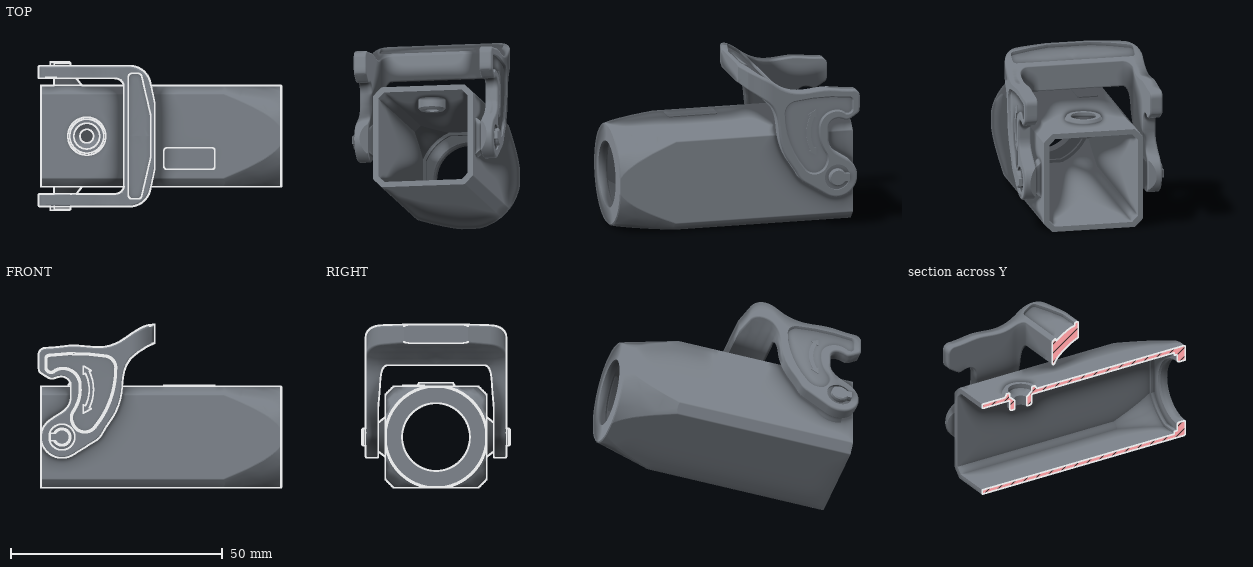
import cadquery as cq
import math

body_length = 56.8
body_half = 12.0
body_chamfer = 2.0
body_edge_round = 0.45
wall = 1.25
inner_chamfer = 1.45

nose_start = 43.1
nose_start_radius = 15.6
nose_end_radius = 12.1
nose_rim_chamfer = 0.25

cavity_end = 53.65
seat_radius = 10.9
seat_half_width = 10.05
seat_end = 54.5
bore_radius = 8.0
bore_chamfer = 0.4

screw_x = 10.85
screw_boss_radius = 4.5
screw_boss_top_radius = 4.0
screw_boss_height = 0.85
screw_inner_radius = 3.15
screw_tip_chamfer = 0.45
screw_boss_bottom = 8.05
screw_recess_radius = 3.05
screw_recess_depth = 1.15
screw_cone_depth = 1.25
screw_hole_radius = 1.6

plate_x = 35.05
plate_y = -5.3
plate_length = 12.05
plate_width = 5.05
plate_height = 0.25
plate_corner = 0.7

pivot_x = 5.0
pivot_radius = 4.95
neck_angle = 122
heel_angle = 58
heel_end_x = 12.95
lever_half_width = 16.65
arm_thickness = 3.05
arm_inner = lever_half_width - arm_thickness
hook_tip_x = -0.6
handle_front = 19.6
handle_back = 26.9
handle_top = 26.55
handle_corner_start_x = 20.9
handle_corner_end = (25.8, 12.85)
handle_lip_half_width = 7.6
opening_corner = 2.1
lever_round = 0.5
opening_round = 0.35
edge_margin = 0.05
thumb_depth = 0.8
thumb_front = 20.65
thumb_back = 25.85
thumb_shoulder_x = 23.65
thumb_half_width = 14.8
thumb_back_half_width = 5.15
thumb_corner = 0.85
recess_depth = 0.5
recess_draft = 35

trunnion_root_radius = 4.7
trunnion_tip_radius = 3.45
trunnion_flat_x = 3.1
pin_half_span = 17.5
pivot_ramp = 1.7
pin_radius = 2.05
pin_chamfer = 0.3
pin_key_reach = 2.8
pin_key_width = 1.85
pin_seat_radius = 3.05
pin_seat_depth = 0.45

arrow_center = (2.7, 11.2)
arrow_radius = 9.25
arrow_half_width = 0.5
arrow_head_half_width = 1.05
arrow_neck_angle = 26
arrow_tip_angle = 37
arrow_height = 0.2


def octagon_prism(half, chamfer, length):
    block = cq.Workplane("YZ").rect(2 * half, 2 * half).extrude(length)
    return block.edges("|X").chamfer(chamfer)


def nose_radius(x):
    slope = (nose_end_radius - nose_start_radius) / (body_length - nose_start)
    return nose_start_radius + slope * (x - nose_start)


def turned(points):
    """Solid of revolution about X from (x, radius) points."""
    return cq.Workplane("XY").polyline(points).close().revolve(360, (0, 0, 0), (1, 0, 0))


def x_cylinder(radius, start, end):
    return cq.Workplane("YZ").workplane(offset=start).circle(radius).extrude(end - start)


def coned(prism, length, inset):
    """Trim a prism to the nose cone moved inwards by inset."""
    wide_radius = nose_radius(0) - inset
    end_radius = nose_radius(length) - inset
    return prism.intersect(turned([(0, 0), (0, wide_radius), (length, end_radius), (length, 0)]))


def make_shell():
    outer = octagon_prism(body_half, body_chamfer, body_length)
    outer = coned(outer, body_length, 0)
    outer = outer.edges("|X or %HYPERBOLA").fillet(body_edge_round)
    outer = outer.faces(">X").edges().chamfer(nose_rim_chamfer)
    inner_half = body_half - wall
    cavity = coned(octagon_prism(inner_half, inner_chamfer, cavity_end), cavity_end, wall)
    seat = x_cylinder(seat_radius, 0, seat_end).intersect(
        cq.Workplane("YZ").rect(2 * seat_half_width, 2 * seat_half_width).extrude(seat_end)
    )
    bore = turned(
        [
            (seat_end, 0),
            (seat_end, bore_radius + bore_chamfer),
            (seat_end + bore_chamfer, bore_radius),
            (body_length, bore_radius),
            (body_length, 0),
        ]
    )
    return outer.cut(cavity).cut(seat).cut(bore)


def z_turned(points):
    profile = cq.Workplane("XZ").polyline(points).close()
    return profile.revolve(360, (0, 0, 0), (0, 1, 0)).translate((screw_x, 0, 0))


def add_screw_boss(body):
    top = body_half + screw_boss_height
    roof_inside = body_half - wall
    boss = z_turned(
        [
            (0, screw_boss_bottom),
            (screw_inner_radius - screw_tip_chamfer, screw_boss_bottom),
            (screw_inner_radius, screw_boss_bottom + screw_tip_chamfer),
            (screw_inner_radius, roof_inside),
            (screw_boss_radius, roof_inside),
            (screw_boss_radius, body_half),
            (screw_boss_top_radius, top),
            (0, top),
        ]
    )
    cone_top = top - screw_recess_depth
    hole = z_turned(
        [
            (0, screw_boss_bottom),
            (screw_hole_radius, screw_boss_bottom),
            (screw_hole_radius, cone_top - screw_cone_depth),
            (screw_recess_radius, cone_top),
            (screw_recess_radius, top),
            (0, top),
        ]
    )
    return body.union(boss).cut(hole)


def make_name_plate():
    plate = cq.Workplane("XY").workplane(offset=body_half - wall / 2)
    plate = plate.center(plate_x, plate_y).rect(plate_length, plate_width)
    return plate.extrude(wall / 2 + plate_height).edges("|Z").fillet(plate_corner)


def pivot_point(degrees):
    angle = math.radians(degrees)
    return (pivot_x + pivot_radius * math.cos(angle), pivot_radius * math.sin(angle))


def lever_outline():
    """Side outline of the lever on the XZ plane, smooth except at the handle lip."""
    heel_direction = (-math.sin(math.radians(heel_angle)), -math.cos(math.radians(heel_angle)))
    heel_start = pivot_point(-heel_angle)
    heel_rise = (heel_end_x - heel_start[0]) / math.tan(math.radians(heel_angle))
    heel_end = (heel_end_x, heel_start[1] + heel_rise)
    neck_direction = (math.sin(math.radians(neck_angle)), -math.cos(math.radians(neck_angle)))
    neck = [pivot_point(neck_angle), (5.55, 6.3), (7.05, 9.45)]
    slot_top = (7.05, 12.05)
    hook = [(4.9, 14.2), (2.6, 13.7), (0.3, 14.9), (hook_tip_x, 16.9)]
    top = [(1.15, 21.05), (7.75, 21.6), (14.8, 21.3), (18.65, 22.55), (21.1, 24.2), (24.1, 26.0)]
    lip_top = (handle_back, handle_top)
    lip_bottom = (handle_back, 22.15)
    back = [(23.0, 20.0), (21.15, 18.45), (19.75, 15.65), (19.05, 10.45), (17.1, 4.9), (15.0, 1.8)]
    up = (0, 1)
    forward = (-1, 0)
    rearward = (1, 0)
    under_lip = (-1, -0.3)
    return (
        cq.Workplane("XZ")
        .moveTo(*heel_start)
        .threePointArc((pivot_x - pivot_radius, 0), neck[0])
        .spline(neck[1:], tangents=[neck_direction, up], includeCurrent=True)
        .lineTo(*slot_top)
        .tangentArcPoint(hook[0], relative=False)
        .spline(hook[1:], tangents=[forward, up], includeCurrent=True)
        .lineTo(hook_tip_x, 19.35)
        .tangentArcPoint(top[0], relative=False)
        .spline(top[1:] + [lip_top], tangents=[rearward, rearward], includeCurrent=True)
        .lineTo(*lip_bottom)
        .spline(back + [heel_end], tangents=[under_lip, heel_direction], includeCurrent=True)
        .close()
    )


def handle_plan():
    """Half of the lever's plan outline (+Y side) with its rounded handle corner, mirrored to the whole."""
    return (
        cq.Workplane("XY")
        .moveTo(-handle_back, 0)
        .lineTo(-handle_back, lever_half_width)
        .lineTo(handle_corner_start_x, lever_half_width)
        .tangentArcPoint(handle_corner_end, relative=False)
        .lineTo(handle_back, handle_lip_half_width)
        .lineTo(handle_back, 0)
        .mirrorX()
    )


def arm_recess_outline(plane):
    return (
        plane.moveTo(1.4, 18.25)
        .threePointArc((1.55, 18.9), (2.1, 19.1))
        .threePointArc((8.3, 19.5), (15.2, 18.95))
        .threePointArc((17.0, 17.9), (17.5, 16.05))
        .threePointArc((16.0, 8.2), (12.6, 2.45))
        .threePointArc((10.05, 1.4), (7.7, 3.3))
        .threePointArc((7.4, 4.7), (7.85, 6.0))
        .threePointArc((9.2, 8.95), (9.45, 12.1))
        .threePointArc((8.2, 15.15), (5.0, 16.35))
        .threePointArc((3.85, 16.1), (2.8, 15.5))
        .threePointArc((1.95, 15.55), (1.4, 16.3))
        .close()
    )


def arrow_point(radius, degrees):
    angle = math.radians(degrees)
    return (arrow_center[0] + radius * math.cos(angle), arrow_center[1] + radius * math.sin(angle))


def arrow_outline(plane):
    inner = arrow_radius - arrow_half_width
    outer = arrow_radius + arrow_half_width
    head_inner = arrow_radius - arrow_head_half_width
    head_outer = arrow_radius + arrow_head_half_width
    return (
        plane.moveTo(*arrow_point(inner, -arrow_neck_angle))
        .threePointArc(arrow_point(inner, 0), arrow_point(inner, arrow_neck_angle))
        .lineTo(*arrow_point(head_inner, arrow_neck_angle))
        .lineTo(*arrow_point(arrow_radius, arrow_tip_angle))
        .lineTo(*arrow_point(head_outer, arrow_neck_angle))
        .lineTo(*arrow_point(outer, arrow_neck_angle))
        .threePointArc(arrow_point(outer, 0), arrow_point(outer, -arrow_neck_angle))
        .lineTo(*arrow_point(head_outer, -arrow_neck_angle))
        .lineTo(*arrow_point(arrow_radius, -arrow_tip_angle))
        .lineTo(*arrow_point(head_inner, -arrow_neck_angle))
        .close()
    )


def make_lever():
    lever = lever_outline().extrude(lever_half_width, both=True)
    lever = lever.intersect(handle_plan().extrude(2 * handle_top, both=True))
    lever = lever.faces("<Y or >Y").edges().fillet(lever_round)

    opening_length = 2 * handle_front
    opening = cq.Workplane("XY").box(opening_length, 2 * arm_inner, 4 * handle_top)
    lever = lever.cut(opening.edges("|Z and >X").fillet(opening_corner))
    reach_x = handle_front + edge_margin
    reach_y = arm_inner + edge_margin
    opening_edges = cq.selectors.BoxSelector((-reach_x, -reach_y, -handle_top), (reach_x, reach_y, handle_top))
    lever = lever.edges(opening_edges).edges("not |Z").fillet(opening_round)

    thumb = (
        cq.Workplane("XY")
        .moveTo(thumb_front, 0)
        .lineTo(thumb_front, thumb_half_width)
        .lineTo(thumb_shoulder_x, thumb_half_width)
        .lineTo(thumb_back, thumb_back_half_width)
        .lineTo(thumb_back, 0)
        .mirrorX()
        .extrude(2 * handle_top)
        .edges("|Z")
        .fillet(thumb_corner)
    )
    floor = lever_outline().extrude(lever_half_width, both=True).translate((0, 0, -thumb_depth))
    keep_below = cq.Workplane("XY").box(4 * handle_back, 4 * lever_half_width, 2 * handle_front)
    lever = lever.cut(thumb.cut(floor).cut(keep_below))

    side_plane = cq.Workplane("XZ", origin=(0, recess_depth - lever_half_width, 0))
    recess = arm_recess_outline(side_plane).extrude(recess_depth, taper=-recess_draft)
    arrow = arrow_outline(side_plane).extrude(arrow_height)
    recess = recess.cut(arrow)
    lever = lever.cut(recess).cut(recess.mirror("XZ"))

    ramp = (
        cq.Workplane("XY")
        .polyline([(0, -arm_inner), (pivot_ramp, -arm_inner), (0, -arm_inner - pivot_ramp)])
        .close()
        .extrude(pivot_radius, both=True)
    )
    return lever.cut(ramp).cut(ramp.mirror("XZ"))


def y_cylinder(radius, start, end):
    plane = cq.Workplane("XZ", origin=(pivot_x, -start, 0))
    return plane.circle(radius).extrude(end - start)


def make_trunnion():
    """Conical boss on the -Y side, cut flat towards the open end."""
    root = body_half - wall / 2
    cone = (
        cq.Workplane("XZ", origin=(pivot_x, -body_half, 0))
        .circle(trunnion_root_radius)
        .workplane(offset=arm_inner - body_half)
        .circle(trunnion_tip_radius)
        .loft()
    )
    cone = cone.union(y_cylinder(trunnion_root_radius, root, body_half))
    trim = cq.Workplane("XY").box(2 * trunnion_flat_x, 4 * lever_half_width, 4 * body_half)
    return cone.cut(trim)


def make_pin():
    """Keyed pin end on the -Y side."""
    root = arm_inner + arm_thickness / 2
    pin = y_cylinder(pin_radius, root, pin_half_span)
    pin = pin.faces("<Y").chamfer(pin_chamfer)
    key = (
        cq.Workplane("XZ", origin=(pivot_x - pin_key_reach / 2, -root, 0))
        .rect(pin_key_reach, pin_key_width)
        .extrude(pin_half_span - root)
    )
    return pin.union(key)


body = add_screw_boss(make_shell()).union(make_name_plate())
lever = make_lever()
trunnion = make_trunnion()
pin = make_pin()
pin_seat = y_cylinder(pin_seat_radius, lever_half_width - pin_seat_depth, lever_half_width)
lever = lever.cut(pin_seat).cut(pin_seat.mirror("XZ"))
result = body.union(lever)
for side_part in (trunnion, pin):
    result = result.union(side_part).union(side_part.mirror("XZ"))